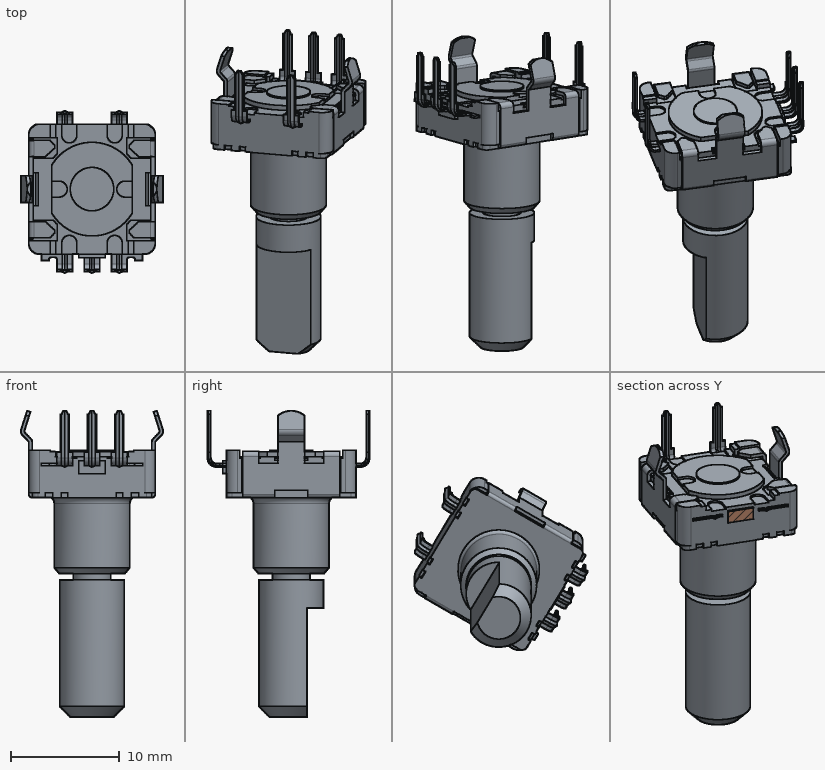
import cadquery as cq
import math


overall_length = 28.2
lead_top = 8.0
body_top = 4.37
disk_top = 4.23
floor_top = 3.78
pocket_floor = 3.6
base_height = 0.45

shaft_end = lead_top - overall_length
shaft_radius = 3.0
shaft_top = -7.55
shaft_chamfer = 1.0
flat_top = -10.15
flat_offset = 1.47
bushing_radius = 3.5
bushing_end = -7.0
bushing_chamfer_height = 0.55
bushing_chamfer_width = 0.48
collar_radius = 3.75
collar_height = 0.5
neck_radius = 1.75

body_half_x = 5.85
body_half_y = 5.98
body_corner_radius = 1.0
base_corner_radius = 0.5
corner_inner_y = 4.75
block_inner_x = 3.84
ledge_inner_x = 3.35

disk_radius = 4.31
disk_half_width = 3.7
button_radius = 2.0
notch_width = 1.47
notch_depth = 0.23
notch_reach = 1.4

slot_x = 2.1
slot_width = 1.38
slot_length = 1.72

pocket_end_x = 3.2
pocket_corner_x = 3.58
pocket_end_y = 2.85
pocket_corner_y = 3.27

leg_slot_inner_x = 4.94
leg_slot_step_x = 5.15
leg_slot_floor = 3.45

base_notches = [(3.95, 0.7), (2.55, 0.6)]
base_notch_depth = 0.28

key_width = 2.48
key_depth = 0.35
key_bottom = 2.23
key_top = 3.4

sheet = 0.35
sheet_inner_x = body_half_x - sheet
plate_half_y = 4.48
plate_end_gap = 0.08
plate_side_gap = 0.08
claw_inner_y = 3.0
claw_top = 4.3
claw_bend_radius = 0.48
claw_tip_x = 3.4
claw_tip_y0 = 3.8
claw_tip_y1 = 4.0
claw_inner_shoulder_x = 4.3
claw_outer_shoulder_x = 3.85
sill_top = 3.2
bracket_slot_half_y = 1.52
bend_slot_height = 0.68
leg_half_y = 1.25
leg_shoulder = 7.55
leg_knee_z = 5.15
leg_elbow_x = 6.63
leg_elbow_z = 5.98
leg_tip_x = 5.98
leg_bend_radius = 0.55

lead_pitch = 2.5
lead_sheet = 0.2
lead_bottom = 2.95
lead_bend_radius = 0.5
lead_rib = 0.15
rib_half_width = 0.3
groove_half_width = 0.212
root_half_width = 0.73
root_top = 4.2
blade_half_width = 0.42
tip_height = 0.35
tip_half_width = 0.15
front_lead_reach = 7.59
rear_lead_reach = 7.08
arm_end_x = 4.65
arm_reach = 0.6
arm_notch_end_x = 3.95
arm_notch_reach = 0.3
arm_notch_radius = 0.17
lead_embed = 0.55


def block(x0, x1, y0, y1, z0, z1):
    return cq.Workplane("XY").box(x1 - x0, y1 - y0, z1 - z0, False).translate((x0, y0, z0))


def in_four_corners(shape):
    right = shape.union(shape.mirror("XZ"))
    return right.union(right.mirror("YZ"))


def make_shaft():
    collar_flare = collar_radius - bushing_radius
    collar_arc_radius = (collar_height**2 + collar_flare**2) / (2 * collar_flare)
    turned = (
        cq.Workplane("XZ")
        .moveTo(0, base_height)
        .lineTo(collar_radius, base_height)
        .lineTo(collar_radius, 0)
        .radiusArc((bushing_radius, -collar_height), -collar_arc_radius)
        .lineTo(bushing_radius, bushing_end + bushing_chamfer_height)
        .lineTo(bushing_radius - bushing_chamfer_width, bushing_end)
        .lineTo(neck_radius, bushing_end)
        .lineTo(neck_radius, shaft_top)
        .lineTo(shaft_radius, shaft_top)
        .lineTo(shaft_radius, shaft_end + shaft_chamfer)
        .lineTo(shaft_radius - shaft_chamfer, shaft_end)
        .lineTo(0, shaft_end)
        .close()
        .revolve(360, (0, 0, 0), (0, 1, 0))
    )
    flat = block(-shaft_radius, shaft_radius, flat_offset, shaft_radius, shaft_end, flat_top)
    return turned.cut(flat)


def make_housing():
    base = (
        block(-sheet_inner_x, sheet_inner_x, -body_half_y, body_half_y, 0, base_height)
        .edges("|Z")
        .fillet(base_corner_radius)
    )
    outline = (
        block(-body_half_x, body_half_x, -body_half_y, body_half_y, base_height, body_top)
        .edges("|Z")
        .fillet(body_corner_radius)
    )
    middle = block(-body_half_x, body_half_x, -corner_inner_y, corner_inner_y, floor_top, body_top)
    lane = block(-ledge_inner_x, ledge_inner_x, -body_half_y, body_half_y, floor_top, body_top)
    ledges = block(-block_inner_x, block_inner_x, -body_half_y, body_half_y, disk_top, body_top)
    housing = base.union(outline.cut(middle).cut(lane).cut(ledges))

    recess_half_y = plate_half_y + plate_end_gap
    for x0, z0 in ((sheet_inner_x, 0), (sheet_inner_x - plate_side_gap, sill_top)):
        recess = block(x0, body_half_x, -recess_half_y, recess_half_y, z0, body_top)
        housing = housing.cut(recess).cut(recess.mirror("YZ"))
    for x, width in base_notches:
        notch = block(
            x - width / 2, x + width / 2, body_half_y - base_notch_depth, body_half_y, 0, base_height
        )
        housing = housing.cut(in_four_corners(notch))
    return housing


def make_lead_slots():
    straight = slot_length - slot_width / 2
    slot = (
        cq.Workplane("XY", origin=(0, 0, pocket_floor))
        .moveTo(slot_x - slot_width / 2, body_half_y)
        .lineTo(slot_x - slot_width / 2, body_half_y - straight)
        .threePointArc((slot_x, body_half_y - slot_length), (slot_x + slot_width / 2, body_half_y - straight))
        .lineTo(slot_x + slot_width / 2, body_half_y)
        .close()
        .extrude(floor_top - pocket_floor)
    )
    return in_four_corners(slot)


def make_claw_pockets():
    pocket = (
        cq.Workplane("XY", origin=(0, 0, pocket_floor))
        .polyline(
            [
                (body_half_x, pocket_end_y),
                (pocket_corner_x, pocket_end_y),
                (pocket_end_x, pocket_corner_y),
                (pocket_end_x, corner_inner_y),
                (body_half_x, corner_inner_y),
            ]
        )
        .close()
        .extrude(floor_top - pocket_floor)
    )
    return in_four_corners(pocket)


def make_leg_slots():
    half_y = bracket_slot_half_y
    slots = block(leg_slot_inner_x, sheet_inner_x, -half_y, half_y, pocket_floor, floor_top)
    slots = slots.union(block(leg_slot_step_x, sheet_inner_x, -half_y, half_y, leg_slot_floor, floor_top))
    return slots.union(slots.mirror("YZ"))


def make_disk():
    height = disk_top - floor_top
    disk = cq.Workplane("XY", origin=(0, 0, floor_top)).circle(disk_radius).extrude(height)
    disk = disk.intersect(
        block(-disk_half_width, disk_half_width, -disk_radius, disk_radius, floor_top, disk_top)
    )
    round_x = disk_half_width - notch_reach + notch_width / 2
    notch = cq.Workplane("XY", origin=(round_x, 0, disk_top)).circle(notch_width / 2).extrude(-notch_depth)
    notch = notch.union(
        block(
            round_x, disk_half_width, -notch_width / 2, notch_width / 2, disk_top - notch_depth, disk_top
        )
    )
    disk = disk.cut(notch).cut(notch.mirror("YZ"))
    button = cq.Workplane("XY", origin=(0, 0, floor_top)).circle(button_radius).extrude(body_top - floor_top)
    return disk.union(button)


def make_plate():
    plate = (
        block(sheet_inner_x - sheet, body_half_x, -plate_half_y, plate_half_y, 0, floor_top)
        .edges(">X and <Z")
        .fillet(sheet)
    )
    plate = plate.intersect(block(sheet_inner_x, body_half_x, -plate_half_y, plate_half_y, 0, floor_top))
    window = block(sheet_inner_x, body_half_x, -claw_inner_y, claw_inner_y, sill_top, floor_top)
    bend_slot = block(
        sheet_inner_x, body_half_x, -bracket_slot_half_y, bracket_slot_half_y, 0, bend_slot_height
    )
    return plate.cut(window).cut(bend_slot)


def make_claw():
    outline = (
        cq.Workplane("XY")
        .polyline(
            [
                (body_half_x, claw_inner_y),
                (claw_inner_shoulder_x, claw_inner_y),
                (claw_tip_x, claw_tip_y0),
                (claw_tip_x, claw_tip_y1),
                (claw_outer_shoulder_x, plate_half_y),
                (body_half_x, plate_half_y),
            ]
        )
        .close()
        .extrude(claw_top)
    )
    folded = (
        block(claw_tip_x, body_half_x, claw_inner_y, plate_half_y, sill_top, claw_top)
        .edges(">X and >Z")
        .fillet(claw_bend_radius)
    )
    under = (
        block(claw_tip_x, sheet_inner_x, claw_inner_y, plate_half_y, sill_top, claw_top - sheet)
        .edges(">X and >Z")
        .fillet(claw_bend_radius - sheet)
    )
    return folded.cut(under).intersect(outline)


def bent_strip(outer, thickness):
    """Closed outline of a strip: the outer points, then the same points offset to their left."""
    headings = [math.atan2(b[1] - a[1], b[0] - a[0]) for a, b in zip(outer, outer[1:])]
    inner = []
    for i, (x, z) in enumerate(outer):
        before = headings[max(i - 1, 0)]
        after = headings[min(i, len(headings) - 1)]
        normal = (before + after + math.pi) / 2
        miter = thickness / math.cos((after - before) / 2)
        inner.append((x + miter * math.cos(normal), z + miter * math.sin(normal)))
    return outer + inner[::-1]


def make_leg():
    outer = [
        (body_half_x, sill_top),
        (body_half_x, leg_knee_z),
        (leg_elbow_x, leg_elbow_z),
        (leg_tip_x, lead_top),
    ]
    strip = (
        cq.Workplane("XZ", origin=(0, leg_half_y, 0))
        .polyline(bent_strip(outer, sheet))
        .close()
        .extrude(2 * leg_half_y)
    )
    face = (
        cq.Workplane("YZ")
        .moveTo(-leg_half_y, sill_top)
        .lineTo(-leg_half_y, leg_shoulder)
        .threePointArc((0, lead_top), (leg_half_y, leg_shoulder))
        .lineTo(leg_half_y, sill_top)
        .close()
        .extrude(2 * body_half_x)
    )
    strip = strip.edges("|Y and >X").fillet(leg_bend_radius)
    inner_elbow = cq.selectors.BoxSelector(
        (sheet_inner_x + sheet, -body_half_y, leg_elbow_z - sheet),
        (leg_elbow_x - sheet / 2, body_half_y, leg_elbow_z + sheet),
    )
    strip = strip.edges("|Y").edges(inner_elbow).fillet(leg_bend_radius - sheet)
    inner_knee = cq.selectors.BoxSelector(
        (sheet_inner_x - sheet / 2, -body_half_y, leg_knee_z - sheet),
        (sheet_inner_x + sheet / 2, body_half_y, leg_knee_z + sheet),
    )
    strip = strip.edges("|Y").edges(inner_knee).fillet(sheet)
    return strip.intersect(face)


def make_bracket_side():
    claw = make_claw()
    return make_plate().union(claw).union(claw.mirror("XZ")).union(make_leg())


def make_lead(reach):
    """A lead at x = 0: it leaves the body toward -Y, then bends up."""
    start_y = lead_embed - body_half_y
    groove_depth = lead_rib * groove_half_width / rib_half_width
    top = lead_bottom + lead_sheet
    bend_y = lead_sheet + lead_bend_radius - reach
    path = (
        cq.Workplane("YZ")
        .moveTo(start_y, top)
        .lineTo(bend_y, top)
        .radiusArc((bend_y - lead_bend_radius, top + lead_bend_radius), lead_bend_radius)
        .lineTo(bend_y - lead_bend_radius, lead_top)
    )
    lead = (
        cq.Workplane("XZ", origin=(0, start_y, 0))
        .polyline(
            [
                (-root_half_width, top),
                (-groove_half_width, top),
                (0, top - groove_depth),
                (groove_half_width, top),
                (root_half_width, top),
                (root_half_width, lead_bottom),
                (rib_half_width, lead_bottom),
                (0, lead_bottom - lead_rib),
                (-rib_half_width, lead_bottom),
                (-root_half_width, lead_bottom),
            ]
        )
        .close()
        .sweep(path, transition="right")
    )
    half_outline = [
        (root_half_width, 0),
        (root_half_width, root_top),
        (blade_half_width, root_top),
        (blade_half_width, lead_top - tip_height),
        (rib_half_width, lead_top - tip_height),
        (tip_half_width, lead_top),
    ]
    face = (
        cq.Workplane("XZ")
        .polyline(half_outline + [(-x, z) for x, z in half_outline[::-1]])
        .close()
        .extrude(2 * body_half_y)
    )
    return lead.intersect(face)


def make_lead_arm():
    """The side arm of the lead at +X on the -Y face, with a round-cornered notch."""
    lead_edge = lead_pitch + root_half_width
    arm_end_y = -body_half_y - arm_reach
    notch_end_y = -body_half_y - arm_notch_reach
    top = lead_bottom + lead_sheet
    arm = block(lead_edge, arm_end_x, arm_end_y, lead_embed - body_half_y, lead_bottom, top)
    notch = (
        block(lead_edge, arm_notch_end_x, arm_end_y, notch_end_y, lead_bottom, top)
        .edges("|Z and >Y")
        .fillet(arm_notch_radius)
    )
    return arm.cut(notch)


def make_key():
    return block(
        -key_width / 2, key_width / 2, -body_half_y - key_depth, -body_half_y, key_bottom, key_top
    )


housing = make_housing().cut(make_lead_slots()).cut(make_claw_pockets()).cut(make_leg_slots())
result = housing.union(make_shaft()).union(make_disk()).union(make_key())

bracket_side = make_bracket_side()
result = result.union(bracket_side).union(bracket_side.mirror("YZ"))

front_lead = make_lead(front_lead_reach)
for x in (-lead_pitch, 0, lead_pitch):
    result = result.union(front_lead.translate((x, 0, 0)))

rear_lead = make_lead(rear_lead_reach).mirror("XZ")
for x in (-lead_pitch, lead_pitch):
    result = result.union(rear_lead.translate((x, 0, 0)))

arm = make_lead_arm()
result = result.union(arm).union(arm.mirror("YZ"))